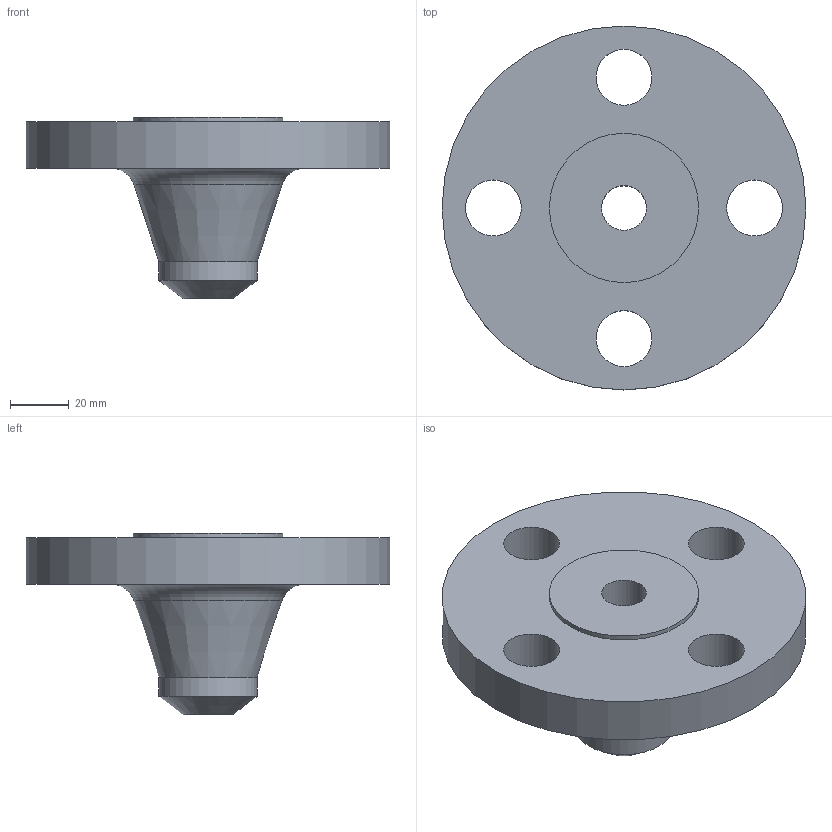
import cadquery as cq
import math

flange_diameter = 123.825
face_diameter = 50.8
face_height = 1.5875
flange_thickness = 17.4625
overall_length = 61.9125

bolt_circle_diameter = 88.9
bolt_hole_diameter = 19.05
bolt_count = 4
bore_diameter = 15.2146

hub_diameter = 53.975
hub_fillet_radius = 8.0
weld_end_diameter = 33.401
weld_land_length = 6.35
bevel_angle = 37.5
root_face_width = 0.8

flange_back_z = -flange_thickness
weld_end_z = -overall_length
root_radius = bore_diameter / 2 + root_face_width
bevel_height = (weld_end_diameter / 2 - root_radius) * math.tan(math.radians(bevel_angle))
bevel_top_z = weld_end_z + bevel_height
cone_end_z = bevel_top_z + weld_land_length


def make_plate():
    plate = (
        cq.Workplane("XY")
        .workplane(offset=flange_back_z)
        .circle(flange_diameter / 2)
        .extrude(flange_thickness - face_height)
    )
    raised_face = (
        cq.Workplane("XY")
        .workplane(offset=-face_height)
        .circle(face_diameter / 2)
        .extrude(face_height)
    )
    return plate.union(raised_face)


def make_hub():
    """Revolved cone, cylindrical land and weld bevel, blended into the plate by a fillet arc."""
    hub_radius = hub_diameter / 2
    weld_end_radius = weld_end_diameter / 2
    cone_height = flange_back_z - cone_end_z
    half_angle = math.atan2(hub_radius - weld_end_radius, cone_height)
    turn_angle = math.pi / 2 - half_angle
    tangent_length = hub_fillet_radius * math.tan(turn_angle / 2)

    fillet_start_x = hub_radius + tangent_length
    fillet_center_z = flange_back_z - hub_fillet_radius
    mid_angle = math.pi / 2 + turn_angle / 2
    fillet_middle = (
        fillet_start_x + hub_fillet_radius * math.cos(mid_angle),
        fillet_center_z + hub_fillet_radius * math.sin(mid_angle),
    )
    fillet_end = (
        hub_radius - tangent_length * math.sin(half_angle),
        flange_back_z - tangent_length * math.cos(half_angle),
    )
    return (
        cq.Workplane("XZ")
        .moveTo(0, flange_back_z)
        .lineTo(fillet_start_x, flange_back_z)
        .threePointArc(fillet_middle, fillet_end)
        .lineTo(weld_end_radius, cone_end_z)
        .lineTo(weld_end_radius, bevel_top_z)
        .lineTo(root_radius, weld_end_z)
        .lineTo(0, weld_end_z)
        .close()
        .revolve(360, (0, 0, 0), (0, 1, 0))
    )


def make_bore():
    return cq.Workplane("XY").circle(bore_diameter / 2).extrude(-overall_length)


def make_bolt_holes():
    return (
        cq.Workplane("XY")
        .polarArray(bolt_circle_diameter / 2, 0, 360, bolt_count)
        .circle(bolt_hole_diameter / 2)
        .extrude(-flange_thickness)
    )


result = make_plate().union(make_hub()).cut(make_bore()).cut(make_bolt_holes())